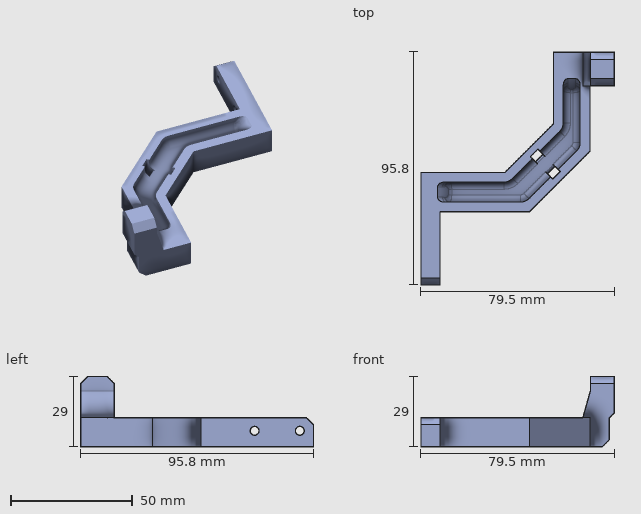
import cadquery as cq
import math

length_x = 79.5
length_y = 95.75
height = 29.0

beam_height = 12.1
beam_front = 30.1
beam_back = 46.3
beam_right = 69.5
y_leg_left = 54.5
inner_bend_x = 34.6
outer_bend_x = 44.6
outer_bend_y = beam_front + beam_right - outer_bend_x
inner_bend_y = beam_back + y_leg_left - inner_bend_x

arm_width = 7.9
chamfer = 3.0
hole_diameter = 3.5
hole_z = 6.6
hole_ys = (5.65, 24.2)

post_depth = 13.9
post_width = 9.9
post_left = length_x - post_width
post_foot_left = 66.5
slope_top_z = 23.0
neck_right = 77.5
overhang_z = 13.9

wall = 4.0
groove_depth = 5.0
groove_left = 6.9
groove_back = 84.8
bend_radius = 5.0
floor_radius = 3.0
end_radius = 2.0

slot_length = 4.3
slot_outer_span = 12.9
slot_inner_span = 7.1
slot_inner_radius = 1.0


def cranked_outline(left, back):
    """Outline of the three legs, starting at x = left and ending at y = back."""
    return cq.Workplane("XY").polyline([
        (left, beam_front),
        (outer_bend_x, beam_front),
        (beam_right, outer_bend_y),
        (beam_right, back),
        (y_leg_left, back),
        (y_leg_left, inner_bend_y),
        (inner_bend_x, beam_back),
        (left, beam_back),
    ]).close()


def make_arm():
    arm = (
        cq.Workplane("XY")
        .box(arm_width, beam_back, beam_height, centered=False)
        .edges("<Y and >Z").chamfer(chamfer)
    )
    holes = (
        cq.Workplane("YZ")
        .pushPoints([(y, hole_z) for y in hole_ys])
        .circle(hole_diameter / 2)
        .extrude(arm_width)
    )
    return arm.cut(holes)


def make_post():
    """Leaning post whose foot also reaches down beside the beam."""
    post = (
        cq.Workplane("XZ", origin=(0, length_y, 0))
        .polyline([
            (post_foot_left, 0),
            (neck_right - chamfer, 0),
            (neck_right, chamfer),
            (neck_right, overhang_z - (length_x - neck_right)),
            (length_x, overhang_z),
            (length_x, height),
            (post_left, height),
            (post_left, slope_top_z),
            (post_foot_left, beam_height),
        ]).close()
        .extrude(post_depth)
    )
    return post.faces(">Z").edges("|X").chamfer(chamfer)


def make_groove():
    """Solid to remove: round-bottomed channel with 45 degree ramps at both ends."""
    floor_z = beam_height - groove_depth
    groove = (
        cranked_outline(groove_left - wall, groove_back + wall)
        .offset2D(-wall, "intersection")
        .extrude(groove_depth)
        .translate((0, 0, floor_z))
    )
    groove = groove.edges("|Z and (not(<X or >Y))").fillet(bend_radius)
    groove = groove.faces("<Z").edges("not(<X or >Y)").fillet(floor_radius)
    left_ramp = (
        cq.Workplane("XZ")
        .polyline([
            (groove_left, beam_height),
            (groove_left, floor_z),
            (groove_left + groove_depth, floor_z),
        ]).close()
        .extrude(-length_y)
    )
    back_ramp = (
        cq.Workplane("YZ")
        .polyline([
            (groove_back, beam_height),
            (groove_back, floor_z),
            (groove_back - groove_depth, floor_z),
        ]).close()
        .extrude(length_x)
    )
    groove = groove.cut(left_ramp).cut(back_ramp)
    for ramp_normal in ("(-1,0,-1)", "(0,1,-1)"):
        groove = groove.faces(ramp_normal).edges("not(>Z)").fillet(end_radius)
    return groove


def make_strap_slots():
    """Pair of vertical slots, joined over the groove floor by rounded shoulders."""
    floor_z = beam_height - groove_depth
    core = (
        cq.Workplane("XY")
        .box(slot_length, slot_inner_span, floor_z, centered=(True, True, False))
        .edges("|X and >Z").fillet(slot_inner_radius)
    )
    slots = (
        cq.Workplane("XY")
        .box(slot_length, slot_outer_span, beam_height, centered=(True, True, False))
        .cut(core)
    )
    leg_width = (outer_bend_x - inner_bend_x + beam_back - beam_front) / math.sqrt(2)
    to_centre = leg_width / 2 / math.sqrt(2)
    centre_x = (inner_bend_x + y_leg_left) / 2 + to_centre
    centre_y = (beam_back + inner_bend_y) / 2 - to_centre
    return slots.rotate((0, 0, 0), (0, 0, 1), 45).translate((centre_x, centre_y, 0))


beam = cranked_outline(0, length_y).extrude(beam_height)
result = (
    beam.union(make_arm())
    .union(make_post())
    .cut(make_groove())
    .cut(make_strap_slots())
)